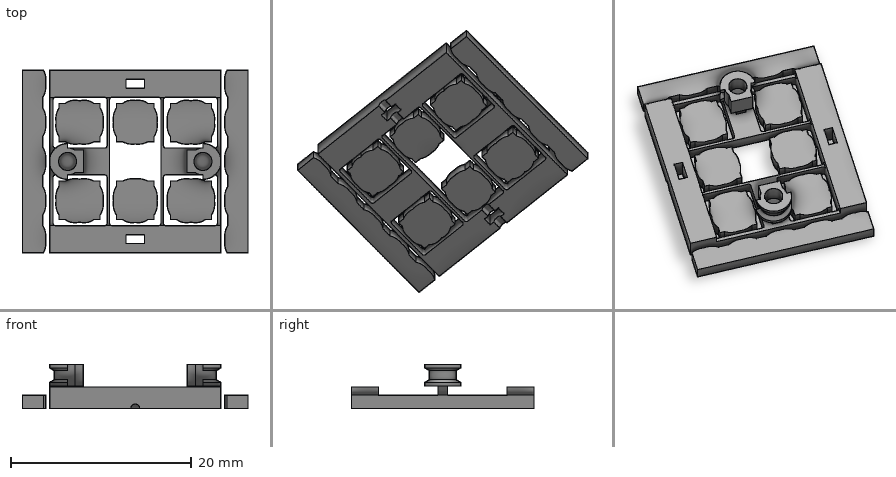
import cadquery as cq
import math

length_y = 20.26
half_y = length_y / 2
plate_height = 1.5

frame_width = 19.0
half_frame = frame_width / 2
rail_height = 2.4
rail_width = 3.03
rail_inner_y = half_y - rail_width
rail_mid_y = half_y - rail_width / 2
outer_bar_width = 0.4
inner_bar_width = 0.3
inner_bar_x = 2.83
web_width = 3.0
corner_radius = 0.25

slot_length = 2.05
slot_width = 0.95
groove_radius = 0.5

spool_x = 7.5
spool_bottom = 2.5
spool_top = 4.9
flange_radius = half_frame - spool_x
hub_radius = 1.5
flange_height = 0.4
cone_height = 0.3
block_width = 2.5
block_length = 1.75
bore_radius = 1.0
bore_depth = 2.0
stem_width = 1.1
stem_length = 2.8

pitch_y = 4.345
broad_radius = 2.3
side_rise = 0.36
side_offset = 0.35
inner_rise = 0.27
inner_inset = 1.80
outer_radius = 1.8
outer_rise = 0.36
outer_inset = 1.78
button_outer_y = 2.1
button_inner_y = 2.18
side_button_x = 6.17
side_button_half_x = 2.29
middle_button_half_x = 2.1

strip_outer_x = 12.5
strip_width = 2.25
caps_beside_middle = 2


def block(x_min, x_max, y_min, y_max, z_min, z_max):
    size = (x_max - x_min, y_max - y_min, z_max - z_min)
    return cq.Workplane("XY").box(*size, centered=False).translate((x_min, y_min, z_min))


def make_cap(radius, rise, offset, turn, x, y):
    """Two-lobed cap with its base centred on (x, y), turned counter-clockwise from facing +Y."""
    half_span = offset + math.sqrt(radius**2 - (radius - rise) ** 2)
    valley = rise - radius + math.sqrt(radius**2 - offset**2)
    cap = (
        cq.Workplane("XY")
        .moveTo(-half_span, 0)
        .threePointArc((-offset, rise), (0, valley))
        .threePointArc((offset, rise), (half_span, 0))
        .close()
        .extrude(plate_height)
    )
    return cap.rotate((0, 0, 0), (0, 0, 1), turn).translate((x, y, 0))


def make_rail(side):
    rail = cq.Workplane("XY").box(frame_width, rail_width, rail_height, centered=(True, True, False))
    slot = cq.Workplane("XY").box(slot_length, slot_width, 2 * rail_height)
    groove = cq.Workplane("XZ").circle(groove_radius).extrude(rail_width, both=True)
    return rail.cut(slot).cut(groove).translate((0, side * rail_mid_y, 0))


def make_bars():
    bars = block(-half_frame, half_frame, -rail_inner_y, rail_inner_y, 0, plate_height)
    middle = block(-inner_bar_x, inner_bar_x, -rail_inner_y, rail_inner_y, 0, plate_height)
    bars = bars.cut(middle.edges("|Z").fillet(corner_radius))
    window_inner_x = inner_bar_x + inner_bar_width
    window_outer_x = half_frame - outer_bar_width
    for side_x in (-1, 1):
        for side_y in (-1, 1):
            x_ends = sorted((side_x * window_inner_x, side_x * window_outer_x))
            y_ends = sorted((side_y * web_width / 2, side_y * rail_inner_y))
            window = block(*x_ends, *y_ends, 0, plate_height)
            rounded = window.edges("|Z").fillet(corner_radius)
            bars = bars.cut(rounded)
    return bars


def make_spool():
    """Spool on the -X side, its flat block pointing towards +X."""
    groove_bottom = spool_bottom + flange_height + cone_height
    groove_top = spool_top - flange_height - cone_height
    profile = [
        (0, spool_bottom),
        (flange_radius, spool_bottom),
        (flange_radius, spool_bottom + flange_height),
        (hub_radius, groove_bottom),
        (hub_radius, groove_top),
        (flange_radius, spool_top - flange_height),
        (flange_radius, spool_top),
        (0, spool_top),
    ]
    rim = cq.Workplane("XZ").polyline(profile).close().revolve(360, (0, 0), (0, 1))
    rim = rim.cut(block(0, flange_radius, -flange_radius, flange_radius, spool_bottom, spool_top))
    hub = cq.Workplane("XY").workplane(offset=spool_bottom).circle(hub_radius).extrude(spool_top - spool_bottom)
    nose = block(0, block_length, -block_width / 2, block_width / 2, spool_bottom, spool_top)
    bore = cq.Workplane("XY").workplane(offset=spool_top).circle(bore_radius).extrude(-bore_depth)
    stem = block(-stem_length / 2, stem_length / 2, -stem_width / 2, stem_width / 2, plate_height, spool_bottom)
    return rim.union(hub).union(nose).cut(bore).union(stem).translate((-spool_x, 0, 0))


def make_frame():
    frame = make_bars()
    for side in (-1, 1):
        frame = frame.union(make_rail(side))
    spool = make_spool()
    return frame.union(spool).union(spool.mirror("YZ"))


def make_button(half_x):
    """Button of the +Y row, its outer side towards +Y and its row line on the X axis."""
    body = block(-half_x, half_x, -button_inner_y, button_outer_y, 0, plate_height)
    caps = [
        make_cap(outer_radius, outer_rise, half_x - outer_inset, 0, 0, button_outer_y),
        make_cap(broad_radius, inner_rise, half_x - inner_inset, 180, 0, -button_inner_y),
        make_cap(broad_radius, side_rise, side_offset, 90, -half_x, 0),
        make_cap(broad_radius, side_rise, side_offset, -90, half_x, 0),
    ]
    for cap in caps:
        body = body.union(cap)
    return body


def make_strip():
    """Scalloped strip on the -X side."""
    valley_x = -strip_outer_x + strip_width
    strip = block(-strip_outer_x, valley_x, -half_y, half_y, 0, plate_height)
    for k in range(-caps_beside_middle, caps_beside_middle + 1):
        strip = strip.union(make_cap(broad_radius, side_rise, side_offset, -90, valley_x, k * pitch_y))
    envelope = block(-strip_outer_x, 0, -half_y, half_y, 0, plate_height)
    return strip.intersect(envelope)


frame = make_frame()

columns = [
    (-side_button_x, side_button_half_x),
    (0, middle_button_half_x),
    (side_button_x, side_button_half_x),
]
buttons = []
for x, half_x in columns:
    upper = make_button(half_x).translate((x, pitch_y, 0))
    buttons += [upper, upper.mirror("XZ")]

left_strip = make_strip()
strips = [left_strip, left_strip.mirror("YZ")]

result = cq.Compound.makeCompound([body.val() for body in [frame, *buttons, *strips]])